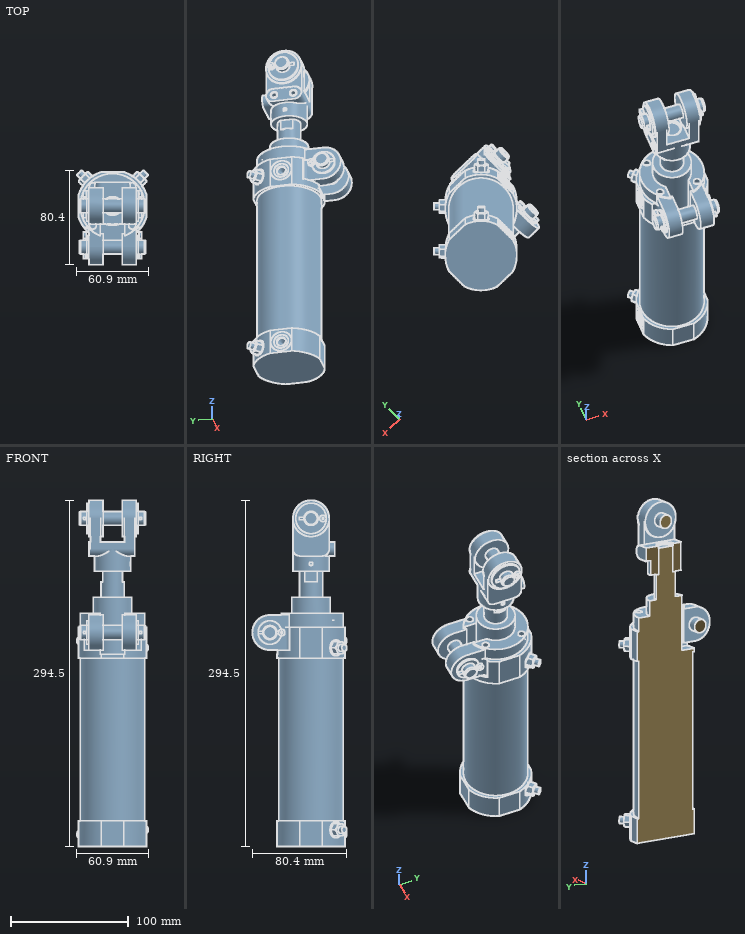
import cadquery as cq
import math


cap_height = 22.0
head_bottom = 160.3
flange_bottom = 186.6
flange_top = 198.5
gland_top = 212.0
knuckle_bottom = 234.0
total_height = 294.5

tube_diameter = 55.0
cover_across_flats = 58.0
cover_diameter = 61.0
gland_diameter = 33.0
rod_diameter = 20.0
rod_across_flats = 17.0
rod_flats_length = 9.0
stud_diameter = 14.38
stud_length = 23.0
flange_hole_offset = 16.7
flange_hole_diameter = 6.0
flange_hole_depth = 6.0

ear_inner_x = 8.1
ear_outer_x = 20.2
washer_face_thickness = 1.6
pin_diameter = 12.0

bracket_pin_y = -35.0
bracket_pin_z = 182.0
bracket_ear_radius = 15.0
bracket_face_diameter = 20.0
bracket_root_y = -18.0
bracket_fillet = 3.3
pocket_outer_x = 24.2
pocket_bottom = bracket_pin_z - bracket_ear_radius
slot_half_width = 10.3
slot_bottom = 163.6
slot_narrowing_y = -23.5

head_port_z = 175.0
cap_port_z = 10.5
port_face_diameter = 18.0
port_face_depth = 0.2
port_mouth_diameter = 12.6
port_bore_diameter = 8.0
port_mouth_depth = 0.6
port_bore_depth = 2.0
port_tip_depth = port_bore_depth + port_bore_diameter / 2
valve_nut_across_flats = 10.2
valve_nut_end = 35.6
valve_screw_diameter = 6.0
valve_screw_end = 40.04
valve_nut_chamfer = 0.6
valve_seat_diameter = 13.4
valve_seat_radius = 29.4
valve_angles = {"left": 135, "right": 45}
head_valve_z = {"left": head_port_z, "right": head_port_z - 6.0}
cap_valve_z = {"left": cap_port_z, "right": cap_port_z + 3.8}

knuckle_diameter = 31.0
knuckle_radius = knuckle_diameter / 2
knuckle_pin_z = total_height - knuckle_radius
knuckle_face_diameter = 26.0
fork_inner_x = 10.1
fork_outer_x = 18.9
bar_height = 12.0
bar_center_z = 253.0
fork_floor_z = bar_center_z + bar_height / 2
boss_length = 30.0
boss_end_y = 20.2
thread_diameter = 16.0
tapped_hole_y = 8.4
tapped_hole_diameter = 6.0
tapped_core_diameter = 4.92
tapped_hole_depth = 8.0
tapped_mouth_depth = 0.54
lock_hole_diameter = 3.0
lock_hole_depth = 3.0
lock_hole_z = 240.4

pin_half_length = 28.35
pin_chamfer_length = 1.5
pin_chamfer_depth = 0.75
cotter_x = 23.6
cotter_diameter = 2.3
cotter_tail_y = -9.9
cotter_eye_y = 10.1
cotter_eye_diameter = 5.5
cotter_eye_hole = 1.5
cotter_eye_width = 2.6


def disc(diameter, z_low, z_high):
    return cq.Workplane("XY").workplane(offset=z_low).circle(diameter / 2).extrude(z_high - z_low)


def block(x_range, y_range, z_range):
    """Box given by its two limits along each axis."""
    ranges = (x_range, y_range, z_range)
    sizes = [high - low for low, high in ranges]
    corner = [low for low, high in ranges]
    return cq.Workplane("XY").box(*sizes, centered=False).translate(tuple(corner))


def rod_along_x(diameter, x_low, x_high, y, z):
    plane = cq.Workplane("YZ", origin=(x_low, y, z))
    return plane.circle(diameter / 2).extrude(x_high - x_low)


def both_sides(shape):
    """The shape and its mirror image across the YZ plane."""
    return shape.union(shape.mirror("YZ"))


def cover(z_low, z_high):
    """Round end cover with four flats."""
    height = z_high - z_low
    square = cq.Workplane("XY").workplane(offset=z_low).rect(cover_across_flats, cover_across_flats)
    square = square.extrude(height)
    return disc(cover_diameter, z_low, z_high).intersect(square)


def port(z):
    """Stepped port with a conical end and a shallow spot face, sunk into the -X flat."""
    profile = [
        (0, 0),
        (port_face_diameter / 2, 0),
        (port_face_diameter / 2, port_face_depth),
        (port_mouth_diameter / 2, port_face_depth),
        (port_mouth_diameter / 2, port_mouth_depth),
        (port_bore_diameter / 2, port_mouth_depth),
        (port_bore_diameter / 2, port_bore_depth),
        (0, port_tip_depth),
    ]
    sunk = cq.Workplane("XY").polyline(profile).close().revolve(360, (0, 0, 0), (0, 1, 0))
    return sunk.rotate((0, 0, 0), (0, 0, 1), -90).translate((-cover_across_flats / 2, 0, z))


def valve(angle, z):
    """Hexagon and screw of a cushion valve pointing outward at an angle from +X."""
    hexagon_diameter = valve_nut_across_flats / math.cos(math.radians(30))
    nut = cq.Workplane("YZ", origin=(valve_seat_radius, 0, 0)).polygon(6, hexagon_diameter)
    nut = nut.extrude(valve_nut_end - valve_seat_radius)
    envelope = rod_along_x(hexagon_diameter, valve_seat_radius, valve_nut_end, 0, 0)
    nut = nut.intersect(envelope.faces(">X").chamfer(valve_nut_chamfer))
    screw = rod_along_x(valve_screw_diameter, valve_seat_radius, valve_screw_end, 0, 0)
    return nut.union(screw).rotate((0, 0, 0), (0, 0, 1), angle).translate((0, 0, z))


def valve_seat(angle, z):
    """Cutter for the flat round seat beneath a valve."""
    cutter = rod_along_x(valve_seat_diameter, valve_seat_radius, valve_screw_end, 0, 0)
    return cutter.rotate((0, 0, 0), (0, 0, 1), angle).translate((0, 0, z))


def bracket_ear():
    """Ear on the +X side, with its washer face and the fillet at its root."""
    top = bracket_pin_z + bracket_ear_radius
    plate = block(
        (ear_inner_x, ear_outer_x), (bracket_pin_y, bracket_root_y), (pocket_bottom, top)
    )
    tip = rod_along_x(2 * bracket_ear_radius, ear_inner_x, ear_outer_x, bracket_pin_y, bracket_pin_z)
    slot_widening = block((0, slot_half_width), (slot_narrowing_y, 0), (pocket_bottom, top))
    ear = plate.union(tip).cut(slot_widening)
    face_end = ear_outer_x + washer_face_thickness
    face = rod_along_x(bracket_face_diameter, ear_outer_x, face_end, bracket_pin_y, bracket_pin_z)
    fillet_x = ear_outer_x + bracket_fillet
    fillet_y = bracket_root_y - bracket_fillet
    fillet_reach = bracket_fillet * (1 - math.sqrt(0.5))
    root = (
        cq.Workplane("XY")
        .workplane(offset=pocket_bottom)
        .moveTo(ear_outer_x, bracket_root_y)
        .lineTo(fillet_x, bracket_root_y)
        .threePointArc(
            (ear_outer_x + fillet_reach, bracket_root_y - fillet_reach), (ear_outer_x, fillet_y)
        )
        .close()
        .extrude(flange_bottom - pocket_bottom)
    )
    return ear.union(face).union(root)


def make_cylinder():
    """Tube, both covers, hinge bracket, gland and extended piston rod."""
    head = cover(head_bottom, flange_bottom).union(disc(tube_diameter, flange_bottom, flange_top))
    outside_y = -cover_diameter
    pocket = block(
        (ear_inner_x, pocket_outer_x), (outside_y, bracket_root_y), (pocket_bottom, flange_bottom)
    )
    slot = block((-slot_half_width, slot_half_width), (outside_y, 0), (slot_bottom, flange_top))
    head = head.cut(both_sides(pocket)).cut(slot)
    head = head.union(both_sides(bracket_ear())).union(disc(gland_diameter, slot_bottom, gland_top))

    flange_hole = disc(flange_hole_diameter, flange_top - flange_hole_depth, flange_top)
    for x in (-flange_hole_offset, flange_hole_offset):
        for y in (-flange_hole_offset, flange_hole_offset):
            head = head.cut(flange_hole.translate((x, y, 0)))
    head = head.cut(
        rod_along_x(pin_diameter, -pin_half_length, pin_half_length, bracket_pin_y, bracket_pin_z)
    )

    rod = disc(rod_diameter, gland_top, knuckle_bottom)
    flats = block(
        (rod_across_flats / 2, rod_diameter),
        (-rod_diameter, rod_diameter),
        (knuckle_bottom - rod_flats_length, knuckle_bottom),
    )
    rod = rod.cut(both_sides(flats))
    stud = disc(stud_diameter, knuckle_bottom, knuckle_bottom + stud_length)

    body = disc(tube_diameter, cap_height, head_bottom).union(cover(0, cap_height))
    body = body.union(head).union(rod).union(stud)
    for z in (cap_port_z, head_port_z):
        body = body.cut(port(z))
    for valve_z in (cap_valve_z, head_valve_z):
        for side, angle in valve_angles.items():
            body = body.cut(valve_seat(angle, valve_z[side])).union(valve(angle, valve_z[side]))
    return body


def make_knuckle():
    """Fork with round ears, screwed onto the rod."""
    neck = disc(knuckle_diameter, knuckle_bottom, fork_floor_z)
    fork = block(
        (-fork_outer_x, fork_outer_x), (-knuckle_radius, knuckle_radius), (bar_center_z, knuckle_pin_z)
    )
    gap = block(
        (-fork_inner_x, fork_inner_x), (-knuckle_radius, knuckle_radius), (fork_floor_z, total_height)
    )
    bar = cq.Workplane("YZ", origin=(-ear_outer_x, 0, bar_center_z)).slot2D(knuckle_diameter, bar_height)
    bar = bar.extrude(ear_outer_x + fork_outer_x)
    boss = cq.Workplane("XZ", origin=(0, boss_end_y, bar_center_z)).slot2D(boss_length, bar_height)
    boss = boss.extrude(boss_end_y)
    knuckle = neck.union(fork).union(bar).union(boss).cut(gap)

    ear = rod_along_x(knuckle_diameter, ear_inner_x, ear_outer_x, 0, knuckle_pin_z)
    face_end = ear_outer_x + washer_face_thickness
    face = rod_along_x(knuckle_face_diameter, ear_outer_x, face_end, 0, knuckle_pin_z)
    knuckle = knuckle.union(both_sides(ear.union(face)))
    knuckle = knuckle.cut(rod_along_x(pin_diameter, -pin_half_length, pin_half_length, 0, knuckle_pin_z))

    countersink_depth = (thread_diameter - stud_diameter) / 2
    rod_hole = disc(stud_diameter, knuckle_bottom, fork_floor_z)
    countersink = cq.Workplane("XY").workplane(offset=fork_floor_z).circle(thread_diameter / 2)
    countersink = countersink.extrude(-countersink_depth, taper=45)
    knuckle = knuckle.cut(rod_hole).cut(countersink)

    for y in (-tapped_hole_y, tapped_hole_y):
        core_end = tapped_hole_depth - ear_outer_x
        mouth_end = tapped_mouth_depth - ear_outer_x
        core = rod_along_x(tapped_core_diameter, -ear_outer_x, core_end, y, bar_center_z)
        mouth = rod_along_x(tapped_hole_diameter, -ear_outer_x, mouth_end, y, bar_center_z)
        knuckle = knuckle.cut(core).cut(mouth)
    lock_hole = rod_along_x(
        lock_hole_diameter, knuckle_radius - lock_hole_depth, knuckle_diameter, 0, lock_hole_z
    )
    return knuckle.cut(both_sides(lock_hole))


def make_pin(y, z):
    """Hinge pin along X with a cross hole for a cotter near each end."""
    radius = pin_diameter / 2
    chamfer_start = pin_half_length - pin_chamfer_length
    profile = [
        (-pin_half_length, 0),
        (-pin_half_length, radius - pin_chamfer_depth),
        (-chamfer_start, radius),
        (chamfer_start, radius),
        (pin_half_length, radius - pin_chamfer_depth),
        (pin_half_length, 0),
    ]
    pin = cq.Workplane("XY").polyline(profile).close().revolve(360, (0, 0, 0), (1, 0, 0))
    cross_hole = cq.Workplane("XZ", origin=(cotter_x, radius, 0))
    cross_hole = cross_hole.circle(cotter_diameter / 2).extrude(pin_diameter)
    return pin.cut(both_sides(cross_hole)).translate((0, y, z))


def make_cotter(x, y, z):
    """Cotter along Y, closed to a straight shank, with an eye at its +Y end."""
    shank = cq.Workplane("XZ", origin=(0, cotter_eye_y, 0))
    shank = shank.circle(cotter_diameter / 2).extrude(cotter_eye_y - cotter_tail_y)
    half_width = cotter_eye_width / 2
    eye = rod_along_x(cotter_eye_diameter, -half_width, half_width, cotter_eye_y, 0)
    eye_hole = rod_along_x(cotter_eye_hole, -half_width, half_width, cotter_eye_y, 0)
    return shank.union(eye).cut(eye_hole).translate((x, y, z))


cylinder = make_cylinder()
knuckle = make_knuckle()
pins = []
cotters = []
for hinge_y, hinge_z in ((bracket_pin_y, bracket_pin_z), (0, knuckle_pin_z)):
    pins.append(make_pin(hinge_y, hinge_z).val())
    for side_x in (-cotter_x, cotter_x):
        cotters.append(make_cotter(side_x, hinge_y, hinge_z).val())

result = cq.Compound.makeCompound([cylinder.val(), knuckle.val(), *pins, *cotters])